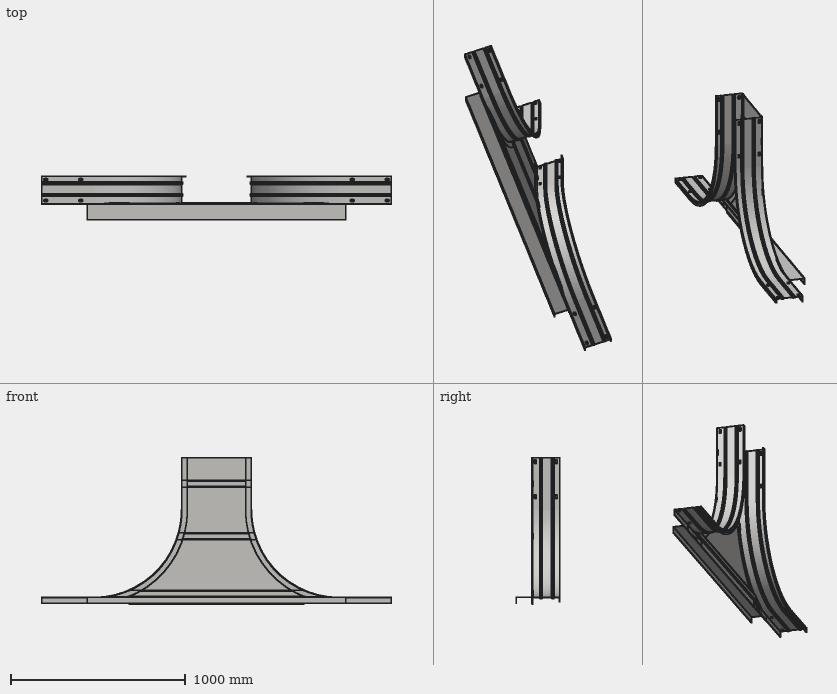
import cadquery as cq
import math

LENGTH = 2000.0
HEIGHT = 840.0
SHEET = 2.0

RAIL_WIDTH = 160.0
HALF_WIDTH = 200.0
STRAIGHT = 300.0
FRONT_FLANGE = 35.0
REAR_FLANGE = 25.0
HEM_HEIGHT = 12.0

GROOVE_POSITIONS = (52.0, 120.0)
GROOVE_TOP = 15.0
GROOVE_BOTTOM = 8.0
GROOVE_DEPTH = 5.0

SLOT_LENGTH = 20.0
SLOT_WIDTH = 10.0
SLOT_EDGE = 20.0
SLOT_STATIONS = (25.0, 225.0)

PLATE_HALF_BASE = 498.0
PLATE_TIP = 640.0
BEAD_CENTRES = (62.0, 390.0, 690.0)
BEAD_OPENING = 38.0
BEAD_FLOOR = 28.0
BEAD_DEPTH = 5.0

SHELF_LENGTH = 1480.0
SHELF_WIDTH = 90.0
SHELF_DEPTH = 35.0

BEND_X = LENGTH / 2 - STRAIGHT
BEND_Z = HEIGHT - STRAIGHT
OUTER_RADIUS = BEND_X - HALF_WIDTH
INNER_RADIUS = OUTER_RADIUS + SHEET
WEB_TOP = BEND_Z - OUTER_RADIUS
PLATE_FRONT = SHEET
PLATE_HALF_TOP = HALF_WIDTH - SHEET


def web_face(offset):
    """Groove corners along one face of the web section, `offset` below its outer face."""
    points = []
    for centre in GROOVE_POSITIONS:
        points += [
            (centre - GROOVE_TOP / 2, WEB_TOP - offset),
            (centre - GROOVE_BOTTOM / 2, WEB_TOP - offset - GROOVE_DEPTH),
            (centre + GROOVE_BOTTOM / 2, WEB_TOP - offset - GROOVE_DEPTH),
            (centre + GROOVE_TOP / 2, WEB_TOP - offset),
        ]
    return points


def rail_section():
    """Section of the left rail at its low end, in Y and Z."""
    outer = [(0, WEB_TOP - FRONT_FLANGE), (0, WEB_TOP)]
    outer += web_face(0)
    outer += [(RAIL_WIDTH, WEB_TOP), (RAIL_WIDTH, WEB_TOP - REAR_FLANGE)]
    flange_back = RAIL_WIDTH - SHEET
    hem_back = flange_back - SHEET
    hem_top = WEB_TOP - REAR_FLANGE + HEM_HEIGHT
    inner = [
        (hem_back, WEB_TOP - REAR_FLANGE),
        (hem_back, hem_top),
        (flange_back, hem_top),
        (flange_back, WEB_TOP - SHEET),
    ]
    inner += reversed(web_face(SHEET))
    inner += [(SHEET, WEB_TOP - SHEET), (SHEET, WEB_TOP - FRONT_FLANGE)]
    return cq.Workplane("YZ", origin=(-LENGTH / 2, 0, 0)).polyline(outer + inner).close()


def rail_path():
    """Outer face of the left rail from its low end to its top end, in X and Z."""
    diagonal = OUTER_RADIUS * math.sqrt(0.5)
    return (
        cq.Workplane("XZ")
        .moveTo(-LENGTH / 2, WEB_TOP)
        .lineTo(-BEND_X, WEB_TOP)
        .threePointArc((-BEND_X + diagonal, BEND_Z - diagonal), (-HALF_WIDTH, BEND_Z))
        .lineTo(-HALF_WIDTH, HEIGHT)
    )


def rail_slots():
    """Slot cutters of the left rail, long in the direction of the rail."""
    across = (SLOT_EDGE, RAIL_WIDTH - SLOT_EDGE)
    low = [(s - LENGTH / 2, y) for s in SLOT_STATIONS for y in across]
    high = [(y, HEIGHT - s) for s in SLOT_STATIONS for y in across]
    reach = 2 * SHEET
    low_cutters = (
        cq.Workplane("XY", origin=(0, 0, WEB_TOP - reach))
        .pushPoints(low)
        .slot2D(SLOT_LENGTH, SLOT_WIDTH)
        .extrude(2 * reach)
    )
    high_cutters = (
        cq.Workplane("YZ", origin=(-HALF_WIDTH - reach, 0, 0))
        .pushPoints(high)
        .slot2D(SLOT_LENGTH, SLOT_WIDTH, 90)
        .extrude(2 * reach)
    )
    return low_cutters, high_cutters


def make_rail(side):
    """One bent rail; the right rail is the mirror image of the left one."""
    rail = rail_section().sweep(rail_path())
    for cutters in rail_slots():
        rail = rail.cut(cutters)
    if side == "right":
        rail = rail.mirror("YZ")
    return rail


def plate_outline():
    """Flared outline against the inner faces of the rail webs, in X and Z."""
    tip_z = BEND_Z - math.sqrt(INNER_RADIUS**2 - (BEND_X - PLATE_TIP) ** 2)
    mid_angle = (math.pi + math.acos((PLATE_TIP - BEND_X) / INNER_RADIUS)) / 2
    mid_x = BEND_X + INNER_RADIUS * math.cos(mid_angle)
    mid_z = BEND_Z - INNER_RADIUS * math.sin(mid_angle)
    return (
        cq.Workplane("XZ")
        .moveTo(-PLATE_HALF_BASE, 0)
        .lineTo(PLATE_HALF_BASE, 0)
        .lineTo(PLATE_HALF_BASE, tip_z)
        .lineTo(PLATE_TIP, tip_z)
        .threePointArc((mid_x, mid_z), (PLATE_HALF_TOP, BEND_Z))
        .lineTo(PLATE_HALF_TOP, HEIGHT)
        .lineTo(-PLATE_HALF_TOP, HEIGHT)
        .lineTo(-PLATE_HALF_TOP, BEND_Z)
        .threePointArc((-mid_x, mid_z), (-PLATE_TIP, tip_z))
        .lineTo(-PLATE_HALF_BASE, tip_z)
        .close()
    )


def plate_face(offset):
    """Points up one face of the beaded sheet, `offset` behind its front face."""
    flat = PLATE_FRONT + offset
    points = [(flat, 0)]
    for centre in BEAD_CENTRES:
        points += [
            (flat, centre - BEAD_OPENING / 2),
            (flat + BEAD_DEPTH, centre - BEAD_FLOOR / 2),
            (flat + BEAD_DEPTH, centre + BEAD_FLOOR / 2),
            (flat, centre + BEAD_OPENING / 2),
        ]
    return points + [(flat, HEIGHT)]


def make_plate():
    """Beaded sheet trimmed to the flared outline."""
    section = plate_face(0) + plate_face(SHEET)[::-1]
    sheet = cq.Workplane("YZ").polyline(section).close().extrude(PLATE_TIP, both=True)
    return sheet.intersect(plate_outline().extrude(-RAIL_WIDTH))


def make_shelf():
    """Inverted channel whose rear leg lies against the front flanges of the rails."""
    top = WEB_TOP + SHEET
    bottom = top - SHELF_DEPTH
    section = [
        (0, bottom),
        (0, top),
        (-SHELF_WIDTH, top),
        (-SHELF_WIDTH, bottom),
        (SHEET - SHELF_WIDTH, bottom),
        (SHEET - SHELF_WIDTH, top - SHEET),
        (-SHEET, top - SHEET),
        (-SHEET, bottom),
    ]
    return cq.Workplane("YZ").polyline(section).close().extrude(SHELF_LENGTH / 2, both=True)


plate = make_plate()
shelf = make_shelf()
rails = [make_rail(side) for side in ("left", "right")]

result = cq.Compound.makeCompound([plate.val(), shelf.val(), *[rail.val() for rail in rails]])